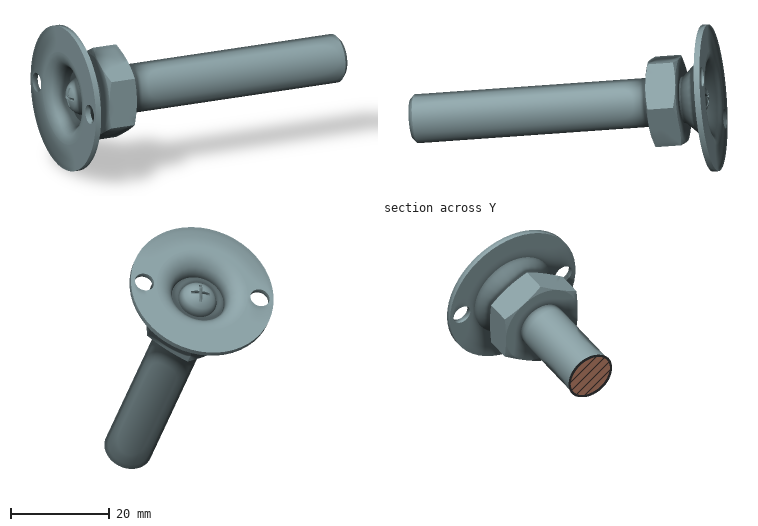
import cadquery as cq
import math

total_length = 62.5
flange_diameter = 30.0
flange_thickness = 1.2
hole_diameter = 4.0
hole_offset = 12.1

shank_diameter = 10.0
shank_chamfer = 0.9

nut_across_flats = 17.1
nut_thickness = 6.25
nut_start = 6.25
nut_chamfer_angle = 20.0

cone_base_diameter = 18.25
neck_diameter = 9.5
cone_top = 5.9

recess_mouth_diameter = 19.1
recess_floor_diameter = 11.0
pivot_diameter = 8.0
pivot_height = 3.1
cross_length = 4.0
cross_width = 0.6
cross_depth = 0.95

recess_radius = (recess_mouth_diameter - recess_floor_diameter) / 2
recess_floor = recess_radius
pivot_crown = recess_floor - pivot_height
diagonal = math.sqrt(0.5)


def revolve_about_y(profile):
    return profile.close().revolve(360, (0, 0, 0), (0, 1, 0))


def cylinder_along_y(diameter, start, end, x=0):
    plane = cq.Plane(origin=(x, start, 0), xDir=(1, 0, 0), normal=(0, 1, 0))
    return cq.Workplane(plane).circle(diameter / 2).extrude(end - start)


def make_shank():
    shank = cylinder_along_y(shank_diameter, nut_start, total_length)
    return shank.faces(">Y").chamfer(shank_chamfer)


def make_nut():
    across_corners = nut_across_flats / math.cos(math.pi / 6)
    plane = cq.Plane(origin=(0, nut_start, 0), xDir=(0, 0, 1), normal=(0, 1, 0))
    hexagon = cq.Workplane(plane).polygon(6, across_corners).extrude(nut_thickness)
    corner_radius = across_corners / 2
    face_radius = nut_across_flats / 2
    bevel = (corner_radius - face_radius) * math.tan(math.radians(nut_chamfer_angle))
    nut_end = nut_start + nut_thickness
    envelope = revolve_about_y(
        cq.Workplane("XY")
        .moveTo(0, nut_start)
        .lineTo(face_radius, nut_start)
        .lineTo(corner_radius, nut_start + bevel)
        .lineTo(corner_radius, nut_end - bevel)
        .lineTo(face_radius, nut_end)
        .lineTo(0, nut_end)
    )
    return hexagon.intersect(envelope)


def make_foot():
    arc_middle = (
        recess_mouth_diameter / 2 - recess_radius * diagonal,
        recess_floor - recess_radius * diagonal,
    )
    foot = revolve_about_y(
        cq.Workplane("XY")
        .moveTo(0, recess_floor)
        .lineTo(recess_floor_diameter / 2, recess_floor)
        .threePointArc(arc_middle, (recess_mouth_diameter / 2, 0))
        .lineTo(flange_diameter / 2, 0)
        .lineTo(flange_diameter / 2, flange_thickness)
        .lineTo(cone_base_diameter / 2, flange_thickness)
        .lineTo(neck_diameter / 2, cone_top)
        .lineTo(neck_diameter / 2, nut_start)
        .lineTo(0, nut_start)
    )
    for side in (-1, 1):
        foot = foot.cut(cylinder_along_y(hole_diameter, 0, flange_thickness, side * hole_offset))
    return foot


def make_pivot():
    base_radius = pivot_diameter / 2
    dome_radius = (base_radius**2 + pivot_height**2) / (2 * pivot_height)
    half_angle = math.asin(base_radius / dome_radius) / 2
    arc_middle = (
        dome_radius * math.sin(half_angle),
        pivot_crown + dome_radius * (1 - math.cos(half_angle)),
    )
    return revolve_about_y(
        cq.Workplane("XY")
        .moveTo(0, pivot_crown)
        .threePointArc(arc_middle, (base_radius, recess_floor))
        .lineTo(base_radius, nut_start)
        .lineTo(0, nut_start)
    )


def make_cross_slot():
    bar = cq.Workplane("XY").box(cross_length, cross_depth, cross_width)
    bar = bar.union(cq.Workplane("XY").box(cross_width, cross_depth, cross_length))
    return bar.translate((0, pivot_crown + cross_depth / 2, 0))


foot_and_screw = make_foot().union(make_shank()).union(make_nut()).union(make_pivot())
result = foot_and_screw.cut(make_cross_slot())